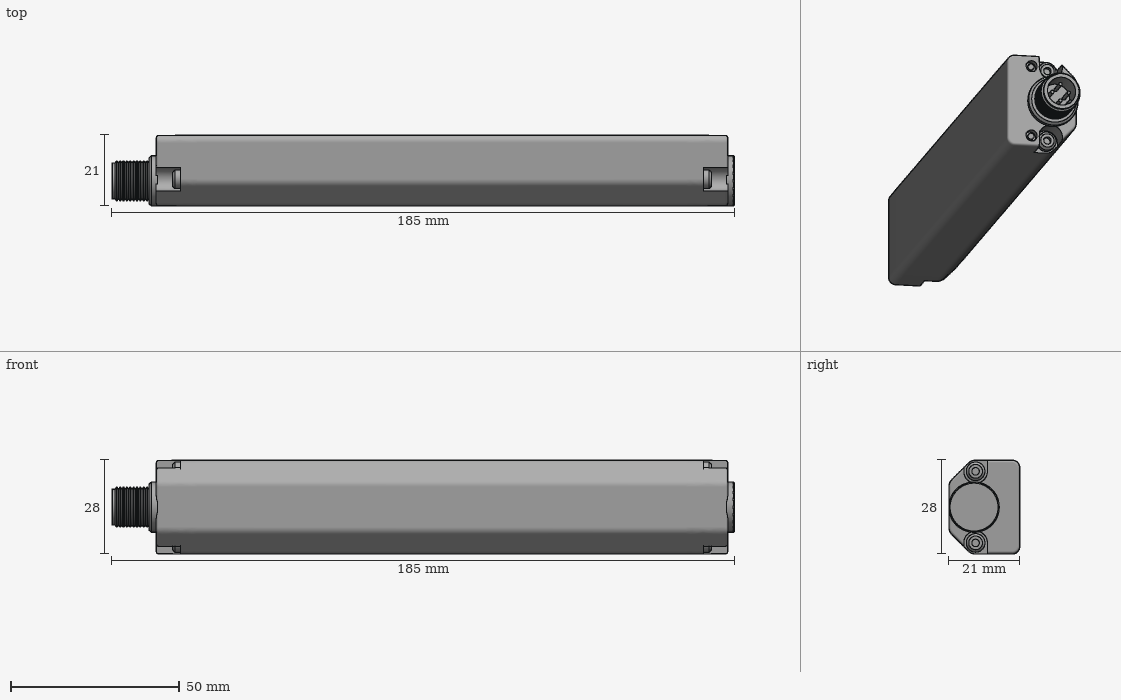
import cadquery as cq
import math

LENGTH = 185.0
FLANGE_DIAMETER = 15.0
FLANGE_RADIUS = FLANGE_DIAMETER / 2

DEPTH = 21.0
HEIGHT = 28.0
FRONT_Y = -FLANGE_RADIUS
BACK_Y = FRONT_Y + DEPTH
BEVEL = 6.7
BEVEL_RADIUS = 3.0
BACK_RADIUS = 2.2

HOUSING_START = 13.1
HOUSING_END = 183.0
CAP_LENGTH = 12.2
CAP_DRAFT = 0.3
END_FILLET = 0.7

SCREW_Y = 0.46
SCREW_SPACING = 21.3
SCREW_Z = SCREW_SPACING / 2
POCKET_RADIUS = 3.5
POCKET_DEPTH = 7.2
HEAD_RADIUS = 2.8
HEAD_LENGTH = 2.4
HEAD_CHAMFER = 0.7
SOCKET_RADIUS = 1.1
SOCKET_DEPTH = 1.5

WINDOW_Y = 6.3
WINDOW_RADIUS = 1.7
WINDOW_DEPTH = 2.4
LENS_RADIUS = 1.0
LENS_HEIGHT = 1.5

FLANGE_LENGTH = 2.2
FLANGE_CHAMFER = 0.7
THREAD_RADIUS = 6.0
THREAD_DEPTH = 0.5
THREAD_PITCH = 1.0
THREAD_COUNT = 10
THREAD_CREST = 0.2

BORE_RADIUS = 4.3
BORE_DEPTH = 8.5
PIN_COUNT = 4
PIN_RADIUS = 0.5
PIN_CIRCLE_DIAMETER = 5.0
PIN_LENGTH = 7.0
KEY_WIDTH = 1.3
KEY_HEIGHT = 0.7
KEY_ANGLE = 225.0

RIM_LENGTH = 0.5
RIM_CHAMFER = 0.4
KNURL_COUNT = 20
KNURL_RADIUS = 0.4

OVERLAP = 0.4


def x_cylinder(radius, start, end, y=0.0, z=0.0):
    """Cylinder parallel to X between two X positions."""
    return cq.Workplane("YZ", origin=(start, y, z)).circle(radius).extrude(end - start)


def make_housing():
    """Straight bar with bevelled front corners, and a slightly tapered cap at each end."""
    half = HEIGHT / 2
    outline = [
        (BACK_Y, -half),
        (BACK_Y, half),
        (FRONT_Y + BEVEL, half),
        (FRONT_Y, half - BEVEL),
        (FRONT_Y, BEVEL - half),
        (FRONT_Y + BEVEL, -half),
    ]
    bar_length = HOUSING_END - HOUSING_START - 2 * CAP_LENGTH
    bar = cq.Workplane("YZ", origin=(HOUSING_START + CAP_LENGTH, 0, 0))
    bar = bar.polyline(outline).close().extrude(bar_length)
    bar = bar.edges("|X").edges("not >Y").fillet(BEVEL_RADIUS)
    bar = bar.edges("|X and >Y").fillet(BACK_RADIUS)
    housing = bar
    for end in ("<X", ">X"):
        cap = bar.faces(end).workplane().add(bar.faces(end).wires().vals()).toPending()
        housing = housing.union(cap.extrude(CAP_LENGTH, combine=False, taper=CAP_DRAFT))
    return housing.faces("<X or >X").edges().fillet(END_FILLET)


def screw_pocket(face_x, inward, side):
    """U-shaped pocket open to the end face and to the upper (side=1) or lower (side=-1) face."""
    floor_x = face_x + inward * POCKET_DEPTH
    pocket = x_cylinder(POCKET_RADIUS, face_x - inward * OVERLAP, floor_x, SCREW_Y, side * SCREW_Z)
    opening_height = HEIGHT / 2 - SCREW_Z + OVERLAP
    opening = cq.Workplane("XY").box(POCKET_DEPTH + OVERLAP, 2 * POCKET_RADIUS, opening_height)
    opening = opening.translate((
        (face_x - inward * OVERLAP + floor_x) / 2,
        SCREW_Y,
        side * (SCREW_Z + opening_height / 2),
    ))
    return pocket.union(opening)


def screw_head(face_x, inward, side):
    """Round screw head standing on the pocket floor, with a blind driver hole."""
    floor_x = face_x + inward * POCKET_DEPTH
    top_x = floor_x - inward * HEAD_LENGTH
    head = x_cylinder(HEAD_RADIUS, top_x, floor_x + inward * OVERLAP, SCREW_Y, side * SCREW_Z)
    head = head.faces("<X" if inward > 0 else ">X").edges().chamfer(HEAD_CHAMFER)
    driver = x_cylinder(SOCKET_RADIUS, top_x, top_x + inward * SOCKET_DEPTH, SCREW_Y, side * SCREW_Z)
    return head.cut(driver)


def indicator_recess(side):
    """Round recess with a smaller lens left standing in it."""
    start = HOUSING_START - OVERLAP
    floor_x = HOUSING_START + WINDOW_DEPTH
    recess = x_cylinder(WINDOW_RADIUS, start, floor_x, WINDOW_Y, side * SCREW_Z)
    lens = x_cylinder(LENS_RADIUS, floor_x - LENS_HEIGHT, floor_x, WINDOW_Y, side * SCREW_Z)
    return recess.cut(lens)


def make_plug():
    """Flange and ringed thread in one revolve, bored out, with pins and a key inside."""
    root = THREAD_RADIUS - THREAD_DEPTH
    flange_x = HOUSING_START - FLANGE_LENGTH
    inner_x = HOUSING_START + OVERLAP
    thread_x = flange_x - THREAD_COUNT * THREAD_PITCH
    profile = [(0, 0), (0, root)]
    for ring in range(THREAD_COUNT):
        ring_x = thread_x + ring * THREAD_PITCH
        crest_x = ring_x + (THREAD_PITCH - THREAD_CREST) / 2
        profile += [(ring_x, root), (crest_x, THREAD_RADIUS), (crest_x + THREAD_CREST, THREAD_RADIUS)]
    profile += [
        (flange_x, root),
        (flange_x, FLANGE_RADIUS - FLANGE_CHAMFER),
        (flange_x + FLANGE_CHAMFER, FLANGE_RADIUS),
        (inner_x, FLANGE_RADIUS),
        (inner_x, 0),
    ]
    plug = cq.Workplane("XY").polyline(profile).close().revolve(360, (0, 0, 0), (1, 0, 0))
    plug = plug.cut(x_cylinder(BORE_RADIUS, 0, BORE_DEPTH))
    for index in range(PIN_COUNT):
        angle = 2 * math.pi * index / PIN_COUNT
        plug = plug.union(x_cylinder(
            PIN_RADIUS,
            BORE_DEPTH - PIN_LENGTH,
            BORE_DEPTH + OVERLAP,
            PIN_CIRCLE_DIAMETER / 2 * math.cos(angle),
            PIN_CIRCLE_DIAMETER / 2 * math.sin(angle),
        ))
    key_length = PIN_LENGTH + OVERLAP
    key = cq.Workplane("XY").box(key_length, KEY_HEIGHT + OVERLAP, KEY_WIDTH)
    key = key.translate((
        BORE_DEPTH - PIN_LENGTH + key_length / 2,
        BORE_RADIUS - (KEY_HEIGHT - OVERLAP) / 2,
        0,
    ))
    return plug.union(key.rotate((0, 0, 0), (1, 0, 0), KEY_ANGLE))


def make_end_disc():
    """Disc on the far end face with short knurl grooves around its outer rim."""
    disc = x_cylinder(FLANGE_RADIUS, HOUSING_END - OVERLAP, LENGTH)
    disc = disc.faces(">X").edges().chamfer(RIM_CHAMFER)
    grooves = (
        cq.Workplane("YZ", origin=(LENGTH - RIM_LENGTH, 0, 0))
        .polarArray(FLANGE_RADIUS, 0, 360, KNURL_COUNT)
        .circle(KNURL_RADIUS)
        .extrude(RIM_LENGTH)
    )
    return disc.cut(grooves)


result = make_housing()
for upper_or_lower in (1, -1):
    result = result.cut(indicator_recess(upper_or_lower))
    for end_x, into_housing in ((HOUSING_START, 1), (HOUSING_END, -1)):
        result = result.cut(screw_pocket(end_x, into_housing, upper_or_lower))
        result = result.union(screw_head(end_x, into_housing, upper_or_lower))
result = result.union(make_plug()).union(make_end_disc())